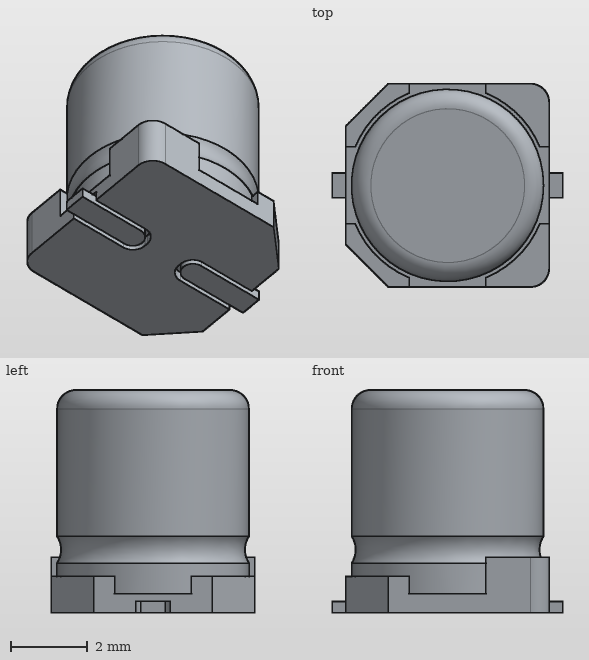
import cadquery as cq

overall_length = 6.0
overall_height = 5.8

base_width = 5.3
base_half = base_width / 2
base_chamfer = 1.11
base_corner_radius = 0.5
floor_height = 0.5
low_post_height = 0.95
high_post_height = 1.45
opening_width = 2.0
seat_diameter = 5.2

can_diameter = 5.0
can_radius = can_diameter / 2
can_top_radius = 0.5
groove_bottom = 1.295
groove_top = 1.99
groove_depth = 0.1

lead_width = 0.65
lead_thickness = 0.3
lead_inner_end = 0.7
slot_width = 0.9
slot_corner_diameter = 0.8
slot_end_gap = (slot_width - lead_width) / 2

SIDES = (-1, 1)


def make_lead(side):
    """Flat lead with a full-round inner end, pointing along X on the given side."""
    round_center = lead_inner_end + lead_width / 2
    half = lead_width / 2
    return (
        cq.Workplane("XY")
        .moveTo(side * overall_length / 2, -half)
        .lineTo(side * round_center, -half)
        .threePointArc((side * lead_inner_end, 0), (side * round_center, half))
        .lineTo(side * overall_length / 2, half)
        .close()
        .extrude(lead_thickness)
    )


def make_lead_slot(side):
    """Cutter for a lead slot, open at the base edge and rounded at its inner corners."""
    inner_end = lead_inner_end - slot_end_gap
    length = base_half - inner_end
    inner_edges = "|Z and >X" if side < 0 else "|Z and <X"
    return (
        cq.Workplane("XY")
        .center(side * (inner_end + length / 2), 0)
        .rect(length, slot_width)
        .extrude(lead_thickness)
        .edges(inner_edges)
        .fillet(slot_corner_diameter / 2)
    )


def make_base():
    """Base plate with four corner posts around the can."""
    base = cq.Workplane("XY").rect(base_width, base_width).extrude(high_post_height)
    base = base.edges("|Z and <X").chamfer(base_chamfer)
    base = base.edges("|Z and >X").fillet(base_corner_radius)

    post_step = (
        cq.Workplane("XY", origin=(-base_half / 2, 0, low_post_height))
        .rect(base_half, base_width)
        .extrude(high_post_height - low_post_height)
    )
    base = base.cut(post_step)

    above_floor = cq.Workplane("XY", origin=(0, 0, floor_height))
    post_height = high_post_height - floor_height
    base = base.cut(above_floor.circle(seat_diameter / 2).extrude(post_height))
    base = base.cut(above_floor.rect(base_width, opening_width).extrude(post_height))
    base = base.cut(above_floor.rect(opening_width, base_width).extrude(post_height))

    for side in SIDES:
        base = base.cut(make_lead_slot(side))
    return base


def make_can():
    """Can standing on the base floor, with a crimp groove and a rounded top rim."""
    groove_middle = (groove_bottom + groove_top) / 2
    can = (
        cq.Workplane("XZ")
        .moveTo(0, floor_height)
        .lineTo(can_radius, floor_height)
        .lineTo(can_radius, groove_bottom)
        .threePointArc((can_radius - groove_depth, groove_middle), (can_radius, groove_top))
        .lineTo(can_radius, overall_height)
        .lineTo(0, overall_height)
        .close()
        .revolve(360, (0, 0, 0), (0, 1, 0))
    )
    return can.faces(">Z").edges().fillet(can_top_radius)


base = make_base()
can = make_can()
leads = [make_lead(side) for side in SIDES]

result = cq.Compound.makeCompound([base.val(), can.val(), *[lead.val() for lead in leads]])